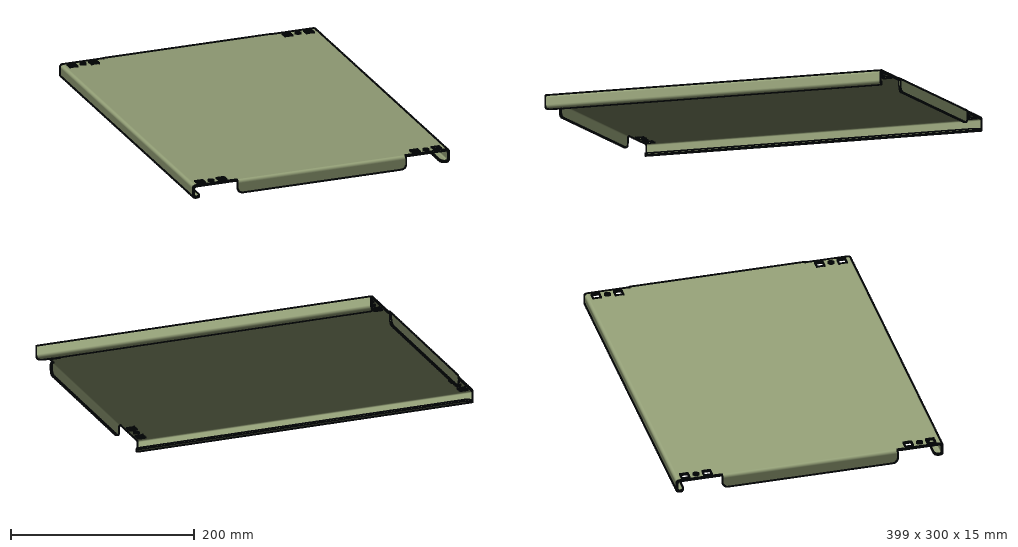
import cadquery as cq

length = 399.0
width = 300.0
height = 15.0
thickness = 2.0
bend_radius = 3.5
inner_bend_radius = bend_radius - thickness

panel_length = length - 2 * bend_radius
lip_reach = 9.0
lip_corner_radius = 5.0

tab_width = 197.0
tab_corner_radius = 6.0

square_size = 8.8
round_diameter = 6.0
hole_edge_distance = 7.5
hole_group_y = 125.5
square_pitch = 25.0


def make_channel():
    """Panel with two long flanges returned inward; its top is at z = 0."""
    half_width = width / 2
    outer = (
        cq.Workplane("XY").box(panel_length, width, height)
        .edges("|X").fillet(bend_radius)
    )
    inner = (
        cq.Workplane("XY")
        .box(panel_length, width - 2 * thickness, height - 2 * thickness)
        .edges("|X").fillet(inner_bend_radius)
    )
    opening = (
        cq.Workplane("XY")
        .box(panel_length, 2 * (half_width - lip_reach), height / 2)
        .translate((0, 0, -height / 2))
    )
    channel = outer.cut(inner).cut(opening).translate((0, 0, -height / 2))

    lip_tip_y = half_width - lip_reach
    lip_tips = cq.selectors.BoxSelector(
        (-length, -lip_tip_y - thickness / 2, -height - thickness),
        (length, lip_tip_y + thickness / 2, -height + 2 * thickness),
    )
    return channel.edges("|Z").edges(lip_tips).fillet(lip_corner_radius)


def make_right_tab():
    """Tab curving down from the +X end of the panel."""
    bend_start = panel_length / 2
    end_x = length / 2
    inner_x = end_x - thickness
    tab = (
        cq.Workplane("XZ")
        .moveTo(bend_start, 0)
        .radiusArc((end_x, -bend_radius), bend_radius)
        .lineTo(end_x, -height)
        .lineTo(inner_x, -height)
        .lineTo(inner_x, -bend_radius)
        .radiusArc((bend_start, -thickness), -inner_bend_radius)
        .close()
        .extrude(tab_width / 2, both=True)
    )
    return tab.faces("<Z").edges("|X").fillet(tab_corner_radius)


def make_hole_cutters():
    """Cutters for the hole groups, passing through the panel sheet only."""
    hole_x = panel_length / 2 - hole_edge_distance
    group_centres = [(x, y) for x in (-hole_x, hole_x) for y in (-hole_group_y, hole_group_y)]
    square_centres = [
        (x, y + offset)
        for x, y in group_centres
        for offset in (-square_pitch / 2, square_pitch / 2)
    ]
    squares = (
        cq.Workplane("XY").pushPoints(square_centres)
        .rect(square_size, square_size).extrude(-thickness)
    )
    rounds = (
        cq.Workplane("XY").pushPoints(group_centres)
        .circle(round_diameter / 2).extrude(-thickness)
    )
    return squares.union(rounds)


right_tab = make_right_tab()
left_tab = right_tab.mirror("YZ")
result = make_channel().union(right_tab).union(left_tab).cut(make_hole_cutters())